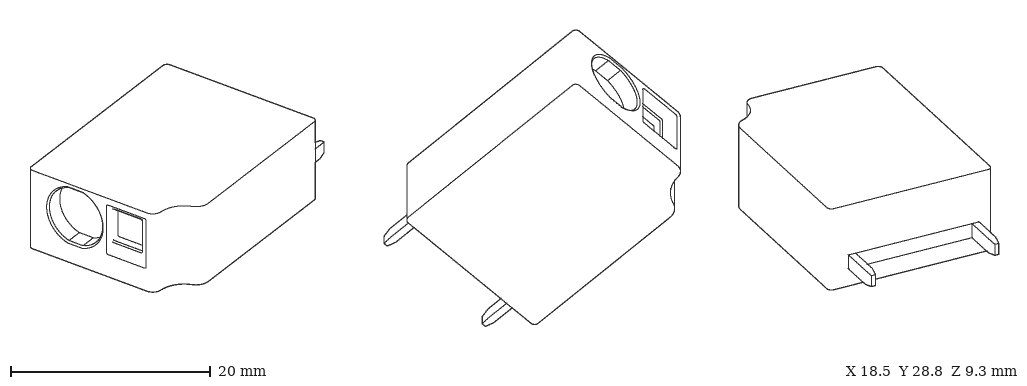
import cadquery as cq
import math

total_length = 28.75
width = 18.5
height = 9.3
pin_length = 4.6
housing_length = total_length - pin_length
corner_radius = 0.52

notch_radius = 3.0
notch_center_y = 0.78
front_shoulder_radius = 1.04
side_shoulder_radius = 1.5

entry_x = 5.7
entry_z = 5.58
entry_radius = 3.25
entry_half_height = 3.13
entry_chamfer = 0.2
entry_depth = 2.0

opening_left = 9.55
opening_z = 5.58
mouth_width = 4.83
mouth_height = 5.86
throat_width = 3.62
throat_height = 3.75
lip_bevel = 0.12
lip_length = 0.23
flare_depth = 0.92
opening_depth = 2.0
opening_corner_radius = 0.2

pin_spacing = 13.97
first_pin_x = 1.93
pin_width = 0.8
pin_height = 1.6
pin_z = 2.75
tip_width = 0.45
tip_height = 1.26
tip_length = 1.0
bar_thickness = 0.8


def arc_middle(center, radius, start, end):
    """Point halfway along the shorter arc from start to end."""
    dx = (start[0] + end[0]) / 2 - center[0]
    dy = (start[1] + end[1]) / 2 - center[1]
    scale = radius / math.hypot(dx, dy)
    return center[0] + dx * scale, center[1] + dy * scale


def point_between(start, end, distance):
    """Point at the given distance from start on the way to end."""
    fraction = distance / math.dist(start, end)
    return start[0] + fraction * (end[0] - start[0]), start[1] + fraction * (end[1] - start[1])


def make_housing_block():
    notch = (width, notch_center_y)

    front_reach = notch_radius + front_shoulder_radius
    front_rise = front_shoulder_radius - notch_center_y
    front = (width - math.sqrt(front_reach**2 - front_rise**2), front_shoulder_radius)
    side_reach = notch_radius + side_shoulder_radius
    side = (
        width - side_shoulder_radius,
        notch_center_y + math.sqrt(side_reach**2 - side_shoulder_radius**2),
    )

    front_start = (front[0], 0)
    notch_start = point_between(notch, front, notch_radius)
    notch_end = point_between(notch, side, notch_radius)
    side_end = (width, side[1])

    block = (
        cq.Workplane("XY")
        .lineTo(*front_start)
        .threePointArc(arc_middle(front, front_shoulder_radius, front_start, notch_start), notch_start)
        .threePointArc(arc_middle(notch, notch_radius, notch_start, notch_end), notch_end)
        .threePointArc(arc_middle(side, side_shoulder_radius, notch_end, side_end), side_end)
        .lineTo(width, housing_length)
        .lineTo(0, housing_length)
        .close()
        .extrude(height)
    )
    rear_edges = block.edges("|Z and >Y")
    left_front_edge = block.edges("|Z and <X").edges("<Y")
    return block.newObject(rear_edges.vals() + left_front_edge.vals()).fillet(corner_radius)


def entry_profile(depth, offset):
    """Flattened circle at a depth behind the front, grown by an offset."""
    radius = entry_radius + offset
    half_height = entry_half_height + offset
    half_flat = math.sqrt(radius**2 - half_height**2)
    return (
        cq.Workplane("XZ", origin=(entry_x, depth, entry_z))
        .moveTo(-half_flat, half_height)
        .lineTo(half_flat, half_height)
        .threePointArc((radius, 0), (half_flat, -half_height))
        .lineTo(-half_flat, -half_height)
        .threePointArc((-radius, 0), (-half_flat, half_height))
        .close()
    )


def loft_between(front_profile, rear_profile):
    wires = [front_profile.wires().val(), rear_profile.wires().val()]
    return cq.Workplane(cq.Solid.makeLoft(wires, True))


def make_wire_entry():
    bore = entry_profile(0, 0).extrude(-entry_depth)
    return bore.union(loft_between(entry_profile(0, entry_chamfer), entry_profile(entry_chamfer, 0)))


def opening_section(depth, section_width, section_height):
    """Rounded rectangle at a depth behind the front, with its left side in line at every depth."""
    outline = cq.Sketch().rect(section_width, section_height).vertices().fillet(opening_corner_radius)
    return outline.moved(cq.Location(cq.Vector(section_width / 2, 0, -depth)))


def make_release_opening():
    throat_start = flare_depth + lip_length
    mouth = opening_section(0, mouth_width, mouth_height)
    lip = opening_section(flare_depth, throat_width + lip_bevel, throat_height + 2 * lip_bevel)
    throat = opening_section(throat_start, throat_width, throat_height)

    plane = cq.Workplane("XZ", origin=(opening_left, 0, opening_z))
    flare = plane.placeSketch(mouth, lip).loft()
    bevel = plane.placeSketch(lip, throat).loft()
    straight = plane.placeSketch(throat).extrude(throat_start - opening_depth)
    return flare.union(bevel).union(straight)


def make_pin(x):
    shank_length = pin_length - tip_length
    shank = cq.Workplane("XZ", origin=(x, housing_length, pin_z)).rect(pin_width, pin_height)
    tip_start = cq.Workplane("XZ", origin=(x, total_length - tip_length, pin_z)).rect(pin_width, pin_height)
    tip_end = cq.Workplane("XZ", origin=(x, total_length, pin_z)).rect(tip_width, tip_height)
    return shank.extrude(-shank_length).union(loft_between(tip_start, tip_end))


def make_contact_bar():
    return cq.Workplane("XY").box(pin_spacing + pin_width, bar_thickness, pin_height).translate(
        (first_pin_x + pin_spacing / 2, housing_length - bar_thickness / 2, pin_z)
    )


def make_housing():
    cutters = [make_wire_entry(), make_release_opening(), make_contact_bar()]
    housing = make_housing_block()
    for cutter in cutters:
        housing = housing.cut(cutter)
    return housing


def make_contact():
    contact = make_contact_bar()
    for x in (first_pin_x, first_pin_x + pin_spacing):
        contact = contact.union(make_pin(x))
    return contact


housing = make_housing()
contact = make_contact()
result = cq.Compound.makeCompound([housing.val(), contact.val()])